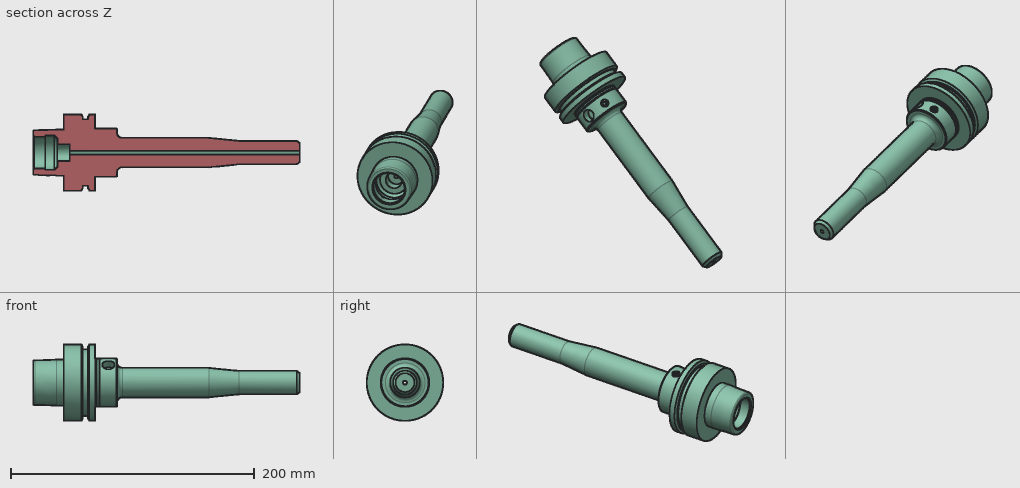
import cadquery as cq
import math


shank_length = 25.0
shank_base_diameter = 38.01
taper_length = 19.0
taper_ratio = 0.06
shank_tip_round = 1.2

flange_diameter = 63.0
flange_width = 26.0
groove_diameter = 55.0
groove_left = 15.9
groove_right = 20.0
groove_flare_length = 1.25
groove_flare_depth = groove_flare_length * math.sqrt(3)

collar_diameter = 40.0
collar_end = 44.0
collar_chamfer = 0.7
ring_groove_width = 0.7
ring_groove_depth = 0.15
ring_groove_starts = (26.5, 29.1)

arbor_diameter = 24.5
arbor_fillet = 4.0
nose_diameter = 19.5
nose_end = 194.0
nose_start = 144.0
cone_length = 25.0
cone_start = nose_start - cone_length
nose_chamfer_length = 2.5
nose_chamfer_depth = 2.0

mouth_diameter = 28.0
bore_diameter = 26.0
recess_diameter = 28.0
bore_floor_diameter = 23.0
mouth_chamfer_length = 1.0
recess_start_depth = 10.0
recess_end_depth = 17.5
bore_depth = 20.0
thread_diameter = 13.38
thread_depth = 10.0
coolant_diameter = 3.0

radial_features_x = 36.8
pocket_diameter = 10.0
pocket_angle = -42.5
pocket_depth = 7.5
screw_diameter = 6.2
screw_angle = 8.5
screw_recess = 1.0
socket_across_flats = 3.0
socket_depth = 2.0


def turned(points):
    """Revolve a closed (x, radius) outline about the X axis."""
    return cq.Workplane("XY").polyline(points).close().revolve(360, (0, 0, 0), (1, 0, 0))


def cylinder_along_x(start, length, diameter):
    return cq.Workplane("YZ", origin=(start, 0, 0)).circle(diameter / 2).extrude(length)


def make_shank():
    base_radius = shank_base_diameter / 2
    tip_radius = base_radius - taper_ratio / 2 * taper_length
    shank = turned([
        (-shank_length, 0),
        (-shank_length, tip_radius),
        (taper_length - shank_length, base_radius),
        (0, base_radius),
        (0, 0),
    ])
    return shank.faces("<X").edges().fillet(shank_tip_round)


def make_flange():
    radius = flange_diameter / 2
    groove_radius = groove_diameter / 2
    return turned([
        (0, 0),
        (0, radius),
        (groove_left - groove_flare_length, radius),
        (groove_left, radius - groove_flare_depth),
        (groove_left, groove_radius),
        (groove_right, groove_radius),
        (groove_right, radius - groove_flare_depth),
        (groove_right + groove_flare_length, radius),
        (flange_width, radius),
        (flange_width, 0),
    ])


def make_collar():
    collar = cylinder_along_x(flange_width, collar_end - flange_width, collar_diameter)
    collar = collar.faces(">X").chamfer(collar_chamfer)
    for start in ring_groove_starts:
        ring = cylinder_along_x(start, ring_groove_width, collar_diameter)
        core = cylinder_along_x(start, ring_groove_width, collar_diameter - 2 * ring_groove_depth)
        collar = collar.cut(ring.cut(core))
    return collar


def make_arbor():
    arbor_radius = arbor_diameter / 2
    nose_radius = nose_diameter / 2
    fillet_middle = arbor_fillet * (1 - math.sqrt(0.5))
    outline = (
        cq.Workplane("XY")
        .moveTo(collar_end, 0)
        .lineTo(collar_end, arbor_radius + arbor_fillet)
        .threePointArc(
            (collar_end + fillet_middle, arbor_radius + fillet_middle),
            (collar_end + arbor_fillet, arbor_radius),
        )
        .lineTo(cone_start, arbor_radius)
        .lineTo(nose_start, nose_radius)
        .lineTo(nose_end - nose_chamfer_length, nose_radius)
        .lineTo(nose_end, nose_radius - nose_chamfer_depth)
        .lineTo(nose_end, 0)
        .close()
    )
    return outline.revolve(360, (0, 0, 0), (1, 0, 0))


def make_bores():
    mouth = -shank_length
    floor = mouth + bore_depth
    bore = turned([
        (mouth, 0),
        (mouth, mouth_diameter / 2),
        (mouth + mouth_chamfer_length, bore_diameter / 2),
        (mouth + recess_start_depth, bore_diameter / 2),
        (mouth + recess_start_depth, recess_diameter / 2),
        (mouth + recess_end_depth, recess_diameter / 2),
        (floor, bore_floor_diameter / 2),
        (floor, 0),
    ])
    thread = cylinder_along_x(floor, thread_depth, thread_diameter)
    coolant = cylinder_along_x(mouth, shank_length + nose_end, coolant_diameter)
    return bore.union(thread).union(coolant)


def radial_plane(angle, radius):
    """Workplane at a radius on the collar whose normal points away from the axis."""
    outward = (0, math.sin(math.radians(angle)), math.cos(math.radians(angle)))
    origin = (radial_features_x, radius * outward[1], radius * outward[2])
    return cq.Workplane(cq.Plane(origin=origin, xDir=(1, 0, 0), normal=outward))


def make_pocket():
    floor_radius = collar_diameter / 2 - pocket_depth
    return radial_plane(pocket_angle, floor_radius).circle(pocket_diameter / 2).extrude(2 * pocket_depth)


def make_screw_recess():
    """Sunk face of a set screw with its hexagon socket."""
    face_radius = collar_diameter / 2 - screw_recess
    recess = radial_plane(screw_angle, face_radius).circle(screw_diameter / 2).extrude(2 * screw_recess)
    socket_corners = socket_across_flats / math.cos(math.pi / 6)
    socket = radial_plane(screw_angle, face_radius).polygon(6, socket_corners).extrude(-socket_depth)
    return recess.union(socket)


body = make_shank().union(make_flange()).union(make_collar()).union(make_arbor())
result = body.cut(make_bores()).cut(make_pocket()).cut(make_screw_recess())